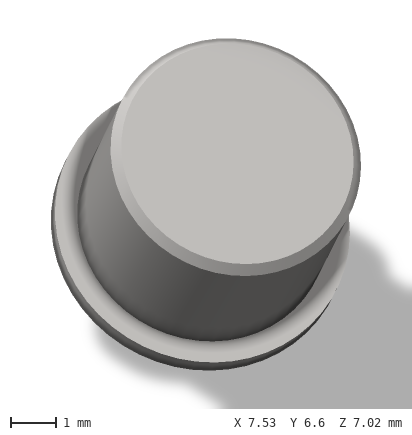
import cadquery as cq

flange_diameter = 6.6
flange_thickness = 0.5
body_diameter = 5.6
total_height = 4.7
top_chamfer = 0.2
tilt_angle = 30


def make_flange():
    """Thin disc at the base of the plug."""
    return cq.Workplane("XY").circle(flange_diameter / 2).extrude(flange_thickness)


def make_body():
    """Solid cylinder with a chamfered top rim."""
    body = cq.Workplane("XY").circle(body_diameter / 2).extrude(total_height)
    return body.faces(">Z").edges().chamfer(top_chamfer)


upright_plug = make_flange().union(make_body())

result = upright_plug.rotate((0, 0, 0), (0, 1, 0), tilt_angle)